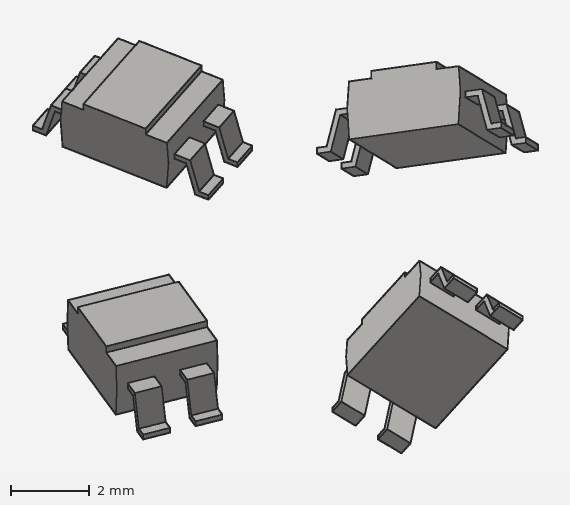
import cadquery as cq

span = 5.2
depth = 2.8
height = 1.9

lead_thickness = 0.155
lead_width = 0.745
lead_pitch = 1.45
lead_top = 1.1
outer_knee_x = 2.06
foot_bend_x = 2.325
bend_shift = 0.12

body_bottom = lead_thickness
shoulder_height = 1.7
parting_height = lead_top - lead_thickness / 2
parting_width = 3.2
shoulder_width = 3.1
bottom_width = 3.08
raised_width = 1.84


def make_body():
    """Drafted housing, widest at the parting line, with a raised middle band."""
    right_side = [
        (bottom_width / 2, body_bottom),
        (parting_width / 2, parting_height),
        (shoulder_width / 2, shoulder_height),
        (raised_width / 2, shoulder_height),
        (raised_width / 2, height),
    ]
    left_side = [(-x, z) for x, z in reversed(right_side)]
    profile = cq.Workplane("XZ").polyline(right_side + left_side).close()
    return profile.extrude(depth / 2, both=True)


def make_lead(y_center):
    """Gull-wing lead on the +X side, with its root buried in the body."""
    root_x = raised_width / 2
    lead_underside = lead_top - lead_thickness
    outline = [
        (root_x, lead_top),
        (outer_knee_x, lead_top),
        (foot_bend_x, lead_thickness),
        (span / 2, lead_thickness),
        (span / 2, 0),
        (foot_bend_x - bend_shift, 0),
        (outer_knee_x - bend_shift, lead_underside),
        (root_x, lead_underside),
    ]
    lead = cq.Workplane("XZ").polyline(outline).close().extrude(lead_width / 2, both=True)
    return lead.translate((0, y_center, 0))


result = make_body()
for y_center in (-lead_pitch / 2, lead_pitch / 2):
    lead = make_lead(y_center)
    result = result.union(lead).union(lead.mirror("YZ"))